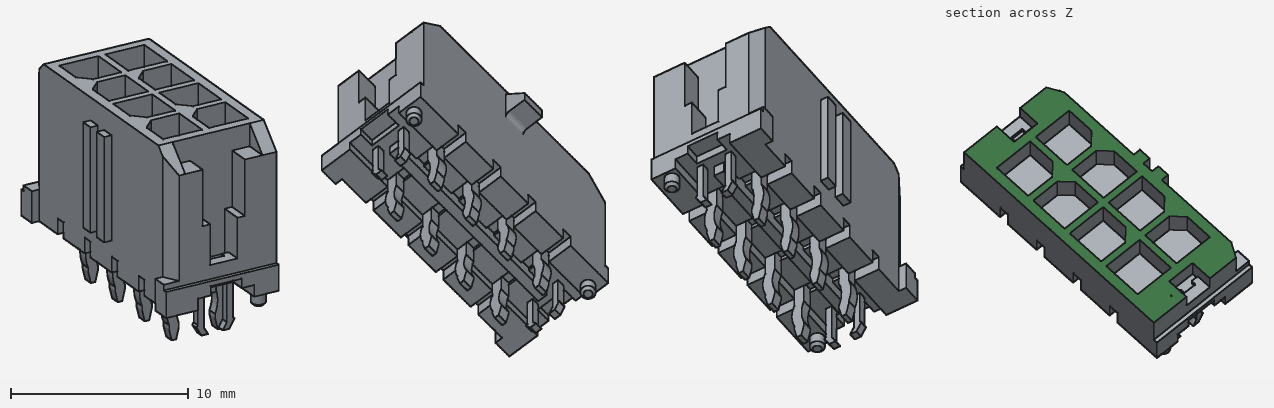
import cadquery as cq


pitch = 3.0
columns = 4
cavity_side = 2.55
cavity_key = 0.71
cavity_floor_z = 1.97
column_xs = [(i - (columns - 1) / 2) * pitch for i in range(columns)]
row_y = pitch / 2
front_row_keys = ["right", "left", "right", "left"]
back_row_keys = [None, "left", "right", "left"]

base_half_length = 8.08
base_height = 1.62
half_length = 7.82
half_depth = 3.44
height = 9.92
core_half_length = 6.4
end_wall_length = half_length - core_half_length
end_wall_top = height - end_wall_length
corner_ear_inner_y = 2.52
bevel_x = 0.94
bevel_y = 0.52

front_y = -3.92
foot_height = 1.97
foot_inner_x = half_length - bevel_x
rib_width = 0.82
rib_x = 0.76

slot_upper_half_width = 1.37
slot_lower_half_width = 0.89
slot_step_z = 5.0
slot_floor_z = 2.49
clip_pocket_depth = 0.25
clip_pocket_outer_x = 6.82
clip_notch_outer_x = 7.12
clip_notch_width = 0.84

tunnel_height = 0.73
tunnel_half_width = 1.82
end_window_half_width = 1.0
end_window_height = 1.31
pin_channel_height = 0.99
standoff_width = 0.65

latch_width = 1.52
latch_tip_y = 4.85
latch_bottom_z = 7.4
latch_tip_top_z = 8.15
latch_fillet = 0.32

peg_x = 7.5
peg_y = 2.44
peg_radius = 0.44
peg_length = 0.84
peg_chamfer = 0.18

pin_thickness = 0.65
pin_bow = 0.16
pin_bow_top_z = -0.52
pin_bow_end_z = -2.2
pin_taper_top_z = -2.45
pin_tip_z = -3.18
pin_tip_width = 0.29

leg_inner_x = core_half_length
leg_thickness = 0.48
leg_outer_y = 1.15
leg_inner_y = 0.75
leg_barb_y = 1.25
leg_toe_outer_y = 0.9
leg_toe_inner_y = 0.48
leg_barb_top_z = -1.55
leg_barb_z = -1.68
leg_bend_z = -1.8
leg_toe_z = -2.25


def block(x0, x1, y0, y1, z0, z1):
    """Box between two opposite corners."""
    return cq.Workplane("XY").box(x1 - x0, y1 - y0, z1 - z0, centered=False).translate((x0, y0, z0))


def x_prism(points, x0, x1):
    """Extrude an outline of (y, z) points from x0 to x1."""
    return cq.Workplane("YZ", origin=(x0, 0, 0)).polyline(points).close().extrude(x1 - x0)


def both_ends(shape):
    """Add the copy of a shape at the other end of the connector."""
    return shape.union(shape.mirror("YZ"))


def front_and_back(shape):
    """Add the copy of a shape on the other side of the row centre line."""
    return shape.union(shape.mirror("XZ"))


def shell():
    """Housing block with sloped top corners and bevelled front corners."""
    body = (
        cq.Workplane("XZ", origin=(0, half_depth, 0))
        .moveTo(-half_length, 0)
        .lineTo(half_length, 0)
        .lineTo(half_length, end_wall_top)
        .lineTo(core_half_length, height)
        .lineTo(-core_half_length, height)
        .lineTo(-half_length, end_wall_top)
        .close()
        .extrude(2 * half_depth)
    )
    bevel = (
        cq.Workplane("XY")
        .moveTo(half_length, -half_depth)
        .lineTo(half_length - bevel_x, -half_depth)
        .lineTo(half_length, -half_depth + bevel_y)
        .close()
        .extrude(height)
    )
    return body.cut(both_ends(bevel))


def base():
    """Low end plates, each running forward into a foot."""
    plate = block(core_half_length, base_half_length, -half_depth, half_depth, 0, base_height)
    foot = block(foot_inner_x, base_half_length, front_y, -half_depth, 0, base_height)
    foot_top = block(foot_inner_x, half_length, front_y, -half_depth + bevel_y, 0, foot_height)
    return both_ends(plate.union(foot).union(foot_top))


def end_wall_cuts():
    """Lowered wall top between the corner ears, stepped slot and clip pocket."""
    def cut_box(half_width, z0, z1, outer_x=half_length):
        return block(core_half_length, outer_x, -half_width, half_width, z0, z1)

    pocket_z = slot_floor_z - clip_pocket_depth
    cuts = cut_box(corner_ear_inner_y, end_wall_top, height)
    cuts = cuts.union(cut_box(slot_upper_half_width, slot_step_z, height))
    cuts = cuts.union(cut_box(slot_lower_half_width, slot_floor_z, height))
    cuts = cuts.union(cut_box(slot_lower_half_width, pocket_z, height, clip_pocket_outer_x))
    cuts = cuts.union(cut_box(clip_notch_width / 2, pocket_z, height, clip_notch_outer_x))
    return both_ends(cuts)


def cavity(x, y, key):
    """Square contact cavity; key names the front corner that is chamfered, if any."""
    half = cavity_side / 2
    hole = block(x - half, x + half, y - half, y + half, cavity_floor_z, height)
    if key is None:
        return hole
    corner_edge = "|Z and <Y and " + ("<X" if key == "left" else ">X")
    return hole.edges(corner_edge).chamfer(cavity_key)


def underside_cuts():
    """Tunnel along X, a window above it in each end plate, and pin channels along Y."""
    cuts = block(
        -base_half_length, base_half_length, -tunnel_half_width, tunnel_half_width, 0, tunnel_height
    )
    window = block(
        clip_notch_outer_x,
        base_half_length,
        -end_window_half_width,
        end_window_half_width,
        0,
        end_window_height,
    )
    cuts = cuts.union(both_ends(window))
    half = pin_thickness / 2
    for x in column_xs:
        cuts = cuts.union(block(x - half, x + half, -half_depth, half_depth, 0, pin_channel_height))
    return cuts


def front_rib():
    """Upright rib on the front face."""
    x0 = rib_x - rib_width / 2
    return block(x0, x0 + rib_width, front_y, -half_depth, foot_height, end_wall_top)


def latch():
    """Ramp at 45 degrees with a fillet under its root."""
    root_top_z = latch_tip_top_z + latch_tip_y - half_depth
    fillet_mid = latch_fillet * (1 - 0.5 ** 0.5)
    return (
        cq.Workplane("YZ", origin=(-latch_width / 2, 0, 0))
        .moveTo(half_depth, root_top_z)
        .lineTo(latch_tip_y, latch_tip_top_z)
        .lineTo(latch_tip_y, latch_bottom_z)
        .lineTo(half_depth + latch_fillet, latch_bottom_z)
        .threePointArc(
            (half_depth + fillet_mid, latch_bottom_z - fillet_mid),
            (half_depth, latch_bottom_z - latch_fillet),
        )
        .close()
        .extrude(latch_width)
    )


def peg():
    """Round locating peg with a chamfered tip."""
    return (
        cq.Workplane("XY", origin=(peg_x, peg_y, 0))
        .circle(peg_radius)
        .extrude(-peg_length)
        .faces("<Z")
        .chamfer(peg_chamfer)
    )


def pin(x):
    """Back-row contact tail, bowed towards the outside to grip its board hole."""
    inner_y = row_y - pin_thickness / 2
    outer_y = row_y + pin_thickness / 2
    bow_mid_z = (pin_bow_top_z + pin_bow_end_z) / 2
    return (
        cq.Workplane("YZ", origin=(x - pin_thickness / 2, 0, 0))
        .moveTo(inner_y, pin_channel_height)
        .lineTo(outer_y, pin_channel_height)
        .lineTo(outer_y, pin_bow_top_z)
        .threePointArc((outer_y + pin_bow, bow_mid_z), (outer_y, pin_bow_end_z))
        .lineTo(outer_y, pin_taper_top_z)
        .lineTo(row_y + pin_tip_width / 2, pin_tip_z)
        .lineTo(row_y - pin_tip_width / 2, pin_tip_z)
        .lineTo(inner_y, pin_taper_top_z)
        .lineTo(inner_y, pin_bow_end_z)
        .threePointArc((inner_y + pin_bow, bow_mid_z), (inner_y, pin_bow_top_z))
        .close()
        .extrude(pin_thickness)
    )


def clip_leg():
    """Barbed leg whose toe bends towards the centre line."""
    outline = [
        (leg_inner_y, tunnel_height),
        (leg_outer_y, tunnel_height),
        (leg_outer_y, leg_barb_top_z),
        (leg_barb_y, leg_barb_z),
        (leg_toe_outer_y, leg_toe_z),
        (leg_toe_inner_y, leg_toe_z),
        (leg_inner_y, leg_bend_z),
    ]
    return x_prism(outline, leg_inner_x, leg_inner_x + leg_thickness)


def standoff():
    """Central rib that carries the tunnel roof down to the seating plane."""
    half = standoff_width / 2
    return block(-core_half_length, core_half_length, -half, half, 0, pin_channel_height)


result = shell().union(base()).cut(end_wall_cuts()).cut(underside_cuts())
for x, front_key, back_key in zip(column_xs, front_row_keys, back_row_keys):
    result = result.cut(cavity(x, -row_y, front_key)).cut(cavity(x, row_y, back_key))

result = result.union(both_ends(front_rib())).union(latch()).union(standoff())
result = result.union(both_ends(peg()))
result = result.union(both_ends(front_and_back(clip_leg())))
for x in column_xs:
    result = result.union(front_and_back(pin(x)))